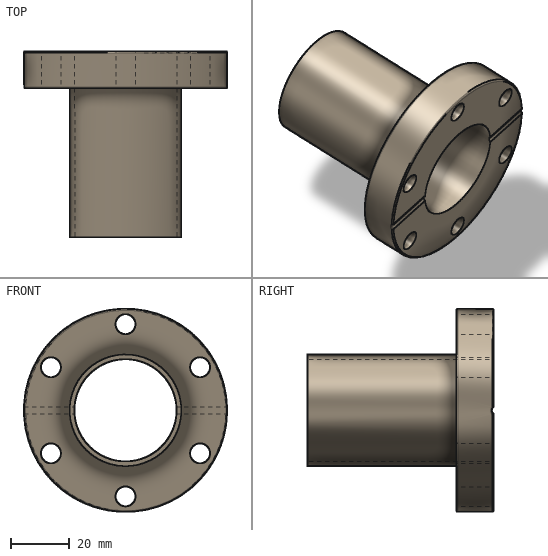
import cadquery as cq

FLANGE_DIAMETER = 69.34
FLANGE_THICKNESS = 12.7
RIM_FILLET = 0.5
TUBE_DIAMETER = 38.1
BORE_DIAMETER = 34.8
OVERALL_LENGTH = 63.5
BOLT_COUNT = 6
BOLT_CIRCLE_DIAMETER = 58.72
BOLT_HOLE_DIAMETER = 6.73
GROOVE_RADIUS = 1.4
GROOVE_DEPTH = 0.6

FLANGE_START = OVERALL_LENGTH - FLANGE_THICKNESS


def cylinder_along_y(diameter, start, end):
    """Solid cylinder on the part axis between two Y positions."""
    return cq.Workplane("XZ", origin=(0, start, 0)).circle(diameter / 2).extrude(start - end)


def make_bolt_holes():
    """Cutters for the bolt circle, with the first hole on +Z."""
    return (
        cq.Workplane("XZ", origin=(0, FLANGE_START, 0))
        .polarArray(BOLT_CIRCLE_DIAMETER / 2, startAngle=90, angle=360, count=BOLT_COUNT)
        .circle(BOLT_HOLE_DIAMETER / 2)
        .extrude(-FLANGE_THICKNESS)
    )


def make_leak_check_groove():
    """Round-bottomed groove cutter running across the sealing face along X."""
    axis_y = OVERALL_LENGTH + GROOVE_RADIUS - GROOVE_DEPTH
    profile = cq.Workplane("YZ").center(axis_y, 0).circle(GROOVE_RADIUS)
    return profile.extrude(FLANGE_DIAMETER / 2, both=True)


def make_flange():
    """Grooved flange disc with rounded rims, the rounding dipping around the groove ends."""
    disc = cylinder_along_y(FLANGE_DIAMETER, FLANGE_START, OVERALL_LENGTH)
    grooved_disc = disc.cut(make_leak_check_groove())
    outer_wall = grooved_disc.faces("%CYLINDER").faces(cq.selectors.AreaNthSelector(-1))
    rim_edges = outer_wall.edges("not |Y")
    return rim_edges.fillet(RIM_FILLET)


tube = cylinder_along_y(TUBE_DIAMETER, 0, FLANGE_START)
bore = cylinder_along_y(BORE_DIAMETER, 0, OVERALL_LENGTH)

result = make_flange().union(tube).cut(bore).cut(make_bolt_holes())